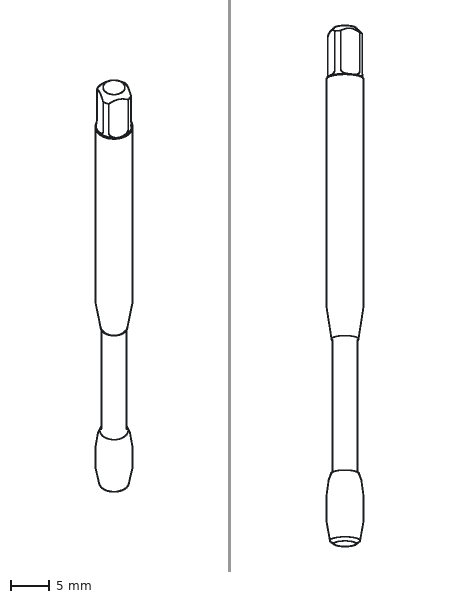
import cadquery as cq
import math

total_length = 70.1
shank_diameter = 4.9
neck_diameter = 3.3

square_width = 3.85
square_corner_diameter = 4.7
square_bottom_z = 63.2
runout_radius = 0.7
shoulder_height = 0.15
shoulder_z = 63.15
tip_diameter = 2.9

taper_top_z = 32.25
taper_bottom_z = 27.8
taper_fillet = 0.15
taper_end_diameter = neck_diameter + 2 * taper_fillet

nose_diameter = 2.95
nose_height = 0.4
lead_start_diameter = 4.0
lead_top_z = 3.1
head_diameter = 4.9
back_taper_z = 6.45
back_end_diameter = 4.35
back_end_z = 8.6
head_top_z = 9.5
head_fillet = 0.2
head_top_diameter = neck_diameter + 2 * head_fillet


def turned_body(stations):
    """Revolve (diameter, z) stations, listed from bottom to top, about Z."""
    bottom_z = stations[0][1]
    top_z = stations[-1][1]
    outline = [(0, bottom_z)]
    outline += [(diameter / 2, z) for diameter, z in stations]
    outline += [(0, top_z)]
    return cq.Workplane("XZ").polyline(outline).close().revolve(360, (0, 0), (0, 1))


def flat_cutter():
    """Material removed beside one drive flat, with a rounded runout at its foot."""
    flat_offset = square_width / 2
    arc_inset = runout_radius * (1 - math.sqrt(0.5))
    return (
        cq.Workplane("XZ")
        .moveTo(flat_offset, total_length)
        .lineTo(flat_offset, square_bottom_z + runout_radius)
        .threePointArc(
            (flat_offset + arc_inset, square_bottom_z + arc_inset),
            (flat_offset + runout_radius, square_bottom_z),
        )
        .lineTo(shank_diameter, square_bottom_z)
        .lineTo(shank_diameter, total_length)
        .close()
        .extrude(shank_diameter, both=True)
    )


def neck_relief():
    """Ring that thins the stem to the neck diameter, leaving a fillet at each end."""
    neck_radius = neck_diameter / 2
    head_inset = head_fillet * (1 - math.sqrt(0.5))
    taper_inset = taper_fillet * (1 - math.sqrt(0.5))
    return (
        cq.Workplane("XZ")
        .moveTo(head_top_diameter / 2, head_top_z)
        .threePointArc(
            (neck_radius + head_inset, head_top_z + head_inset),
            (neck_radius, head_top_z + head_fillet),
        )
        .lineTo(neck_radius, taper_bottom_z - taper_fillet)
        .threePointArc(
            (neck_radius + taper_inset, taper_bottom_z - taper_inset),
            (taper_end_diameter / 2, taper_bottom_z),
        )
        .lineTo(shank_diameter, taper_bottom_z)
        .lineTo(shank_diameter, head_top_z)
        .close()
        .revolve(360, (0, 0), (0, 1))
    )


def make_shank():
    """Neck, taper, round shank and square drive."""
    cone_bottom_z = total_length - (square_corner_diameter - tip_diameter) / 2
    shank = turned_body([
        (head_top_diameter, head_top_z),
        (head_top_diameter, head_top_z + head_fillet),
        (taper_end_diameter, taper_bottom_z - taper_fillet),
        (taper_end_diameter, taper_bottom_z),
        (shank_diameter, taper_top_z),
        (shank_diameter, shoulder_z),
        (square_corner_diameter, shoulder_z + shoulder_height),
        (square_corner_diameter, cone_bottom_z),
        (tip_diameter, total_length),
    ]).cut(neck_relief())
    cutter = flat_cutter()
    for angle in (0, 90, 180, 270):
        shank = shank.cut(cutter.rotate((0, 0, 0), (0, 0, 1), angle))
    return shank


def make_cutting_head():
    """Tapered head that sits against the lower end of the neck."""
    return turned_body([
        (nose_diameter, 0),
        (lead_start_diameter, nose_height),
        (head_diameter, lead_top_z),
        (head_diameter, back_taper_z),
        (back_end_diameter, back_end_z),
        (head_top_diameter, head_top_z),
    ])


shank = make_shank()
cutting_head = make_cutting_head()
result = cq.Compound.makeCompound([shank.val(), cutting_head.val()])